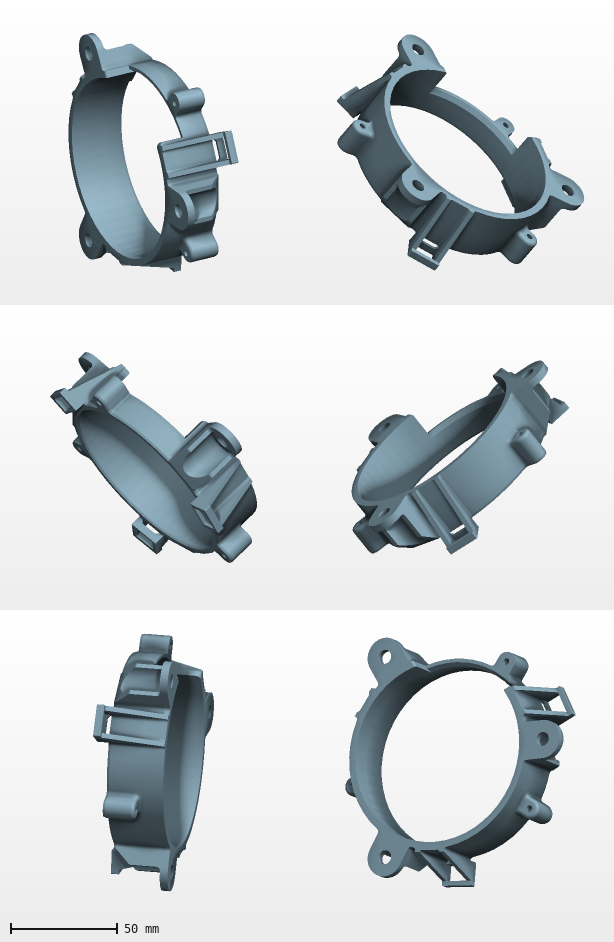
import cadquery as cq
import math

bore_radius = 43.6
ring_radius = 46.9
ring_depth = 27.1
back_bevel = 0.4
back_bevel_depth = 1.1
straight_depth = ring_depth - back_bevel_depth
overlap = 1.2

plain_boss_angle = 55
round_boss_angles = [190, 325]
boss_distance = 52.0
boss_radius = 4.7
boss_hole_diameter = 3.1
boss_root_fillet = 1.5
round_boss_front = 12.0
boss_front_fillet = 1.7
round_boss_root_fillet = 1.8

overall_width = 121.1
lug_radius = 9.2
first_boss_reach = boss_distance * math.cos(math.radians(180 - round_boss_angles[0])) + boss_radius
first_lug_distance = overall_width - first_boss_reach - lug_radius
lugs = [(0, first_lug_distance), (120, 55.7), (240, 55.7)]
lug_thickness = 3.8
lug_hole_diameter = 6.7
lug_root_fillet = 1.7
gusset_reach = 55.2
gusset_foot_fillet = 1.9
gusset_knee_fillet = 1.5
scoop_radius = 6.9

clip_angles = [25, 145, 265]
clip_width = 15.5
clip_reach = 58.9
clip_depth = 32.5
clip_wall = 2.3
clip_plate_thickness = 3.6
clip_pad_radius = 47.4
clip_inner_wall = 1.3
clip_rib_foot = 48.2
clip_root_fillet = 1.5
clip_corner_fillet = 0.5
pocket_fillet = 1.5
notch_chamfer = 1.5

relief_depth = 13.1
relief_lug_offset = 11.1
relief_lug_rounding = 1.1
relief_clip_offset = 9.3
relief_clip_rounding = 2.5
relief_edge_radius = 45.2
relief_edge_depth = 2.4

far = 2 * ring_radius
plate_front = clip_depth - clip_plate_thickness
window_outer = clip_reach - clip_wall
window_inner = clip_pad_radius + clip_inner_wall
window_half = clip_width / 2 - clip_wall


def turned(shape, angle):
    """Turn a shape from the +X direction to an angle counted from +X towards +Z."""
    return shape.rotate((0, 0, 0), (0, 1, 0), -angle)


def front_plane(y):
    """Sketch plane at depth y with local axes X and Z; negative extrusion runs towards +Y."""
    return cq.Workplane("XZ", origin=(0, y, 0))


def block(r_from, r_to, half_width, y_from, y_to):
    return (
        front_plane(y_from)
        .center((r_from + r_to) / 2, 0)
        .rect(r_to - r_from, 2 * half_width)
        .extrude(y_from - y_to)
    )


def cylinder(radius, distance, y_from, y_to):
    return front_plane(y_from).center(distance, 0).circle(radius).extrude(y_from - y_to)


def tongue(radius, distance, y_from, y_to):
    """Round-ended arm from inside the ring wall to the given centre distance."""
    arm = block(bore_radius + overlap, distance, radius, y_from, y_to)
    return arm.union(cylinder(radius, distance, y_from, y_to))


def fillet_roots(body, angles, half_width, radius):
    """Round the full-depth corners where arms of one width leave the ring."""
    spread = math.degrees(math.asin(half_width / ring_radius))
    for angle in angles:
        for side in (-spread, spread):
            corner = math.radians(angle + side)
            point = (ring_radius * math.cos(corner), straight_depth / 2, ring_radius * math.sin(corner))
            body = body.edges(cq.selectors.NearestToPointSelector(point)).fillet(radius)
    return body


def ring_with_round_boss():
    """Ring with a boss on +X that has a rounded front and a root blended into the ring."""
    ring = turned(cylinder(ring_radius, 0, 0, straight_depth), 180)
    boss = tongue(boss_radius, boss_distance, round_boss_front, straight_depth)
    boss = boss.faces("<Y").edges("not <X").fillet(boss_front_fillet)
    margin = 0.1
    root = cq.selectors.BoxSelector(
        (0, margin, -ring_radius),
        (ring_radius + margin, straight_depth - margin, ring_radius),
    )
    return ring.union(boss).edges(root).fillet(round_boss_root_fillet)


def ring_with_arms():
    body = cylinder(ring_radius, 0, 0, straight_depth)
    for angle, distance in lugs:
        body = body.union(turned(tongue(lug_radius, distance, 0, straight_depth), angle))
    for angle in clip_angles:
        rib = block(bore_radius + overlap, window_outer, clip_width / 2, 0, straight_depth)
        body = body.union(turned(rib, angle))
    boss = tongue(boss_radius, boss_distance, 0, straight_depth)
    body = body.union(turned(boss, plain_boss_angle))
    body = fillet_roots(body, [angle for angle, _ in lugs], lug_radius, lug_root_fillet)
    body = fillet_roots(body, clip_angles, clip_width / 2, clip_root_fillet)
    body = fillet_roots(body, [plain_boss_angle], boss_radius, boss_root_fillet)
    for angle in round_boss_angles:
        body = body.union(turned(ring_with_round_boss(), angle))
    rim_slope = math.degrees(math.atan(back_bevel / back_bevel_depth))
    return body.faces(">Y").wires().toPending().workplane().extrude(back_bevel_depth, taper=rim_slope)


def lug_cut(distance):
    """Everything removed above a lug: the space outside the gusset, the scoop and the hole."""
    knee_y = ring_depth - (gusset_reach - ring_radius)
    outside = (
        cq.Workplane("XY", origin=(0, 0, -lug_radius - overlap))
        .moveTo(ring_radius, ring_depth)
        .lineTo(gusset_reach, knee_y)
        .lineTo(gusset_reach, lug_thickness)
        .lineTo(far, lug_thickness)
        .lineTo(far, ring_depth)
        .close()
        .extrude(2 * (lug_radius + overlap))
    )
    foot = cq.selectors.NearestToPointSelector((gusset_reach, lug_thickness, 0))
    knee = cq.selectors.NearestToPointSelector((gusset_reach, knee_y, 0))
    outside = outside.edges(foot).fillet(gusset_foot_fillet)
    outside = outside.edges(knee).fillet(gusset_knee_fillet)
    scoop = cylinder(scoop_radius, distance, lug_thickness, ring_depth)
    hole = cylinder(lug_hole_diameter / 2, distance, 0, lug_thickness)
    return outside.union(scoop).union(hole)


def clip_frame():
    frame = block(clip_pad_radius, clip_reach, clip_width / 2, straight_depth, clip_depth)
    return frame.edges("|Y and >X").fillet(clip_corner_fillet)


def clip_cut():
    """Slope along the ribs, pocket between them, window in the frame and notch behind the ring."""
    slope = (
        cq.Workplane("XY", origin=(0, 0, -clip_width / 2 - overlap))
        .moveTo(clip_rib_foot, 0)
        .lineTo(window_outer, plate_front)
        .lineTo(far, plate_front)
        .lineTo(far, 0)
        .close()
        .extrude(clip_width + 2 * overlap)
    )
    pocket = block(clip_pad_radius, window_outer, window_half, 0, ring_depth)
    pocket = pocket.edges("|Y and <X").fillet(pocket_fillet)
    window = block(window_inner, window_outer, window_half, ring_depth, clip_depth)
    notch = block(clip_pad_radius, window_inner, window_half, ring_depth, plate_front)
    notch = notch.edges("|X and >Y").chamfer(notch_chamfer)
    return slope.union(pocket).union(window).union(notch)


def relief_side(offset, rounding, depth):
    """Half-space on the +Z side of a wall at Z = offset whose front edge is rounded."""
    return (
        cq.Workplane("YZ")
        .moveTo(0, offset - rounding)
        .radiusArc((rounding, offset), rounding)
        .lineTo(depth, offset)
        .lineTo(depth, far)
        .lineTo(0, far)
        .close()
        .extrude(far, both=True)
    )


def relief(depth):
    clip_side = relief_side(relief_clip_offset, relief_clip_rounding, depth)
    lug_side = relief_side(relief_lug_offset, relief_lug_rounding, depth).mirror("XY")
    return turned(clip_side, clip_angles[0]).intersect(turned(lug_side, lugs[1][0]))


def cone(front_radius, back_radius, y_from, y_to):
    return (
        cq.Workplane("XY")
        .moveTo(0, y_from)
        .lineTo(front_radius, y_from)
        .lineTo(back_radius, y_to)
        .lineTo(0, y_to)
        .close()
        .revolve(360, (0, 0, 0), (0, 1, 0))
    )


def relief_edge():
    """Conical bevel on the inner edge of the relief floor."""
    deep = relief_depth + relief_edge_depth
    return cone(relief_edge_radius, bore_radius, relief_depth, deep).intersect(relief(deep))


def bore():
    """Through bore with a slender bevel at the back."""
    bevel = cone(bore_radius, bore_radius + back_bevel, straight_depth, ring_depth)
    return cylinder(bore_radius, 0, 0, ring_depth).union(bevel)


result = ring_with_arms()
for angle, distance in lugs:
    result = result.cut(turned(lug_cut(distance), angle))
for angle in clip_angles:
    result = result.union(turned(clip_frame(), angle)).cut(turned(clip_cut(), angle))
for angle in [plain_boss_angle] + round_boss_angles:
    hole = cylinder(boss_hole_diameter / 2, boss_distance, 0, ring_depth)
    result = result.cut(turned(hole, angle))
result = result.cut(relief(relief_depth)).cut(relief_edge())
result = result.cut(bore())